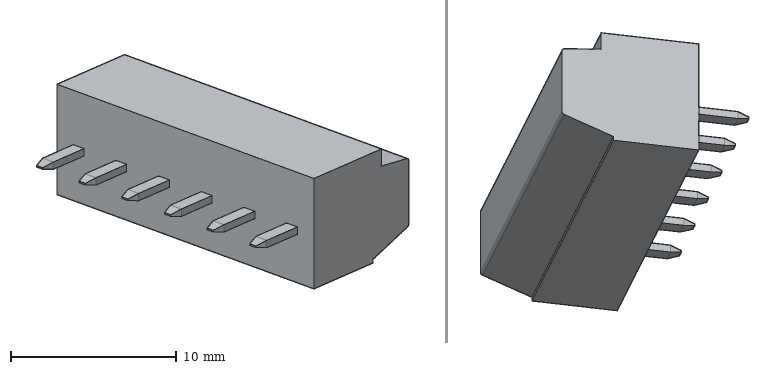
import cadquery as cq

length = 21.08
height = 7.3
total_depth = 12.02
body_depth = 8.52
top_depth = 6.07
bottom_depth = 5.31
nose_top_root = 6.15
nose_bottom_root = 0.25
nose_top_tip = 5.9
nose_bottom_tip = 1.43
nose_radius = 0.21

pin_count = 6
pin_pitch = 3.5
pin_width = 0.89
pin_thickness = 0.48
pin_length = total_depth - body_depth
pin_height = 3.45
tip_length = 0.74
tip_inset = 0.2


def make_housing():
    """Stepped side profile swept along X, with the back edges of the nose rounded."""
    profile = [
        (0, 0),
        (bottom_depth, 0),
        (bottom_depth, nose_bottom_root),
        (body_depth, nose_bottom_tip),
        (body_depth, nose_top_tip),
        (top_depth, nose_top_root),
        (top_depth, height),
        (0, height),
    ]
    block = cq.Workplane("YZ").polyline(profile).close().extrude(length / 2, both=True)
    return block.faces(">Y").edges("|X").fillet(nose_radius)


def make_pin(x):
    """Straight shank from the pin face, ending in a tip tapered on all four sides."""
    shank_length = pin_length - tip_length
    shank = (
        cq.Workplane("XZ", origin=(x, 0, pin_height))
        .rect(pin_width, pin_thickness)
        .extrude(shank_length)
    )
    tip = (
        cq.Workplane("XZ", origin=(x, -shank_length, pin_height))
        .rect(pin_width, pin_thickness)
        .workplane(offset=tip_length)
        .rect(pin_width - 2 * tip_inset, pin_thickness - 2 * tip_inset)
        .loft(ruled=True)
    )
    return shank.union(tip)


result = make_housing()
first_pin_x = -pin_pitch * (pin_count - 1) / 2
for index in range(pin_count):
    result = result.union(make_pin(first_pin_x + index * pin_pitch))